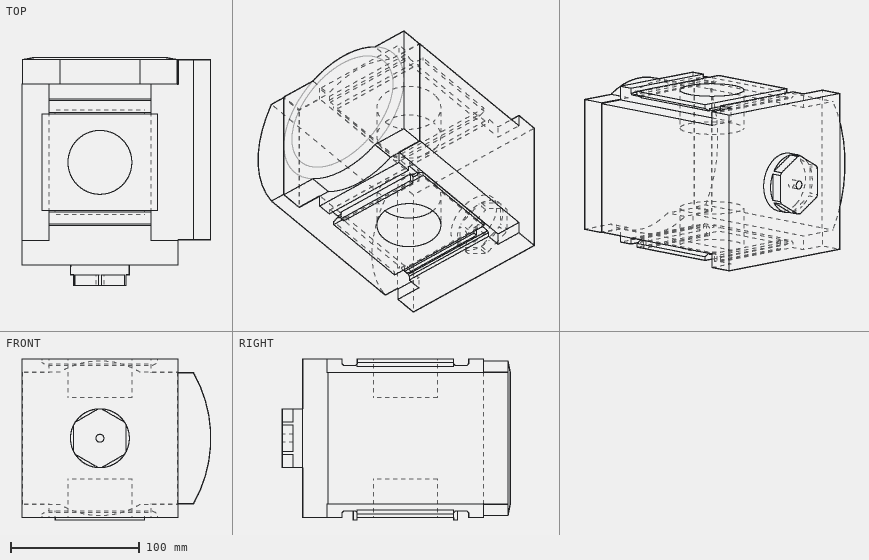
import cadquery as cq


body_width = 122.0
body_height = 124.1
body_depth = 141.4
flange_depth = 19.0
core_half_height = 51.2
core_height = 2 * core_half_height

pad_width = 79.9
rail_depth = 11.8
groove_width = 11.8
groove_drop = 5.2
groove_chamfer = 1.2
front_rail_end = 30.8
front_groove_end = front_rail_end + groove_width
back_groove_end = body_depth - rail_depth
back_groove_start = back_groove_end - groove_width
plate_length = back_groove_start - front_groove_end

plate_width = 90.2
plate_edge = 3.0
plate_taper = 2.9

port_diameter = 50
port_depth = 30.3

bar_length = 69.9
bar_thickness = 3.2
bar_protrusion = 2.0

block_inset = 0.5
block_depth = 19.0
block_width = body_width - 2 * block_inset
block_height = core_height + 2 * block_inset
disc_radius = block_width / 2
crown_height = 1.8
crown_slope_width = 9.5

cover_front = 19.8
cover_flat = 12.1
cover_reach = 25.7

collar_diameter = 46.0
collar_length = 7.7
hex_across_flats = 41
hex_length = 8.4
drain_diameter = 6.2
drain_depth = hex_length

half_width = body_width / 2
half_height = body_height / 2
back_end = body_depth + block_depth


def box(width, depth, height, front, bottom):
    """Box centred on X, starting at Y = front and Z = bottom."""
    return (
        cq.Workplane("XY")
        .box(width, depth, height, centered=(True, False, False))
        .translate((0, front, bottom))
    )


def plane_facing_front(x, front):
    """Workplane with X right and Z up at (x, front); negative extrusions run towards +Y."""
    return cq.Workplane("XZ", origin=(x, front, 0))


def make_housing():
    flange = box(body_width, flange_depth, body_height, 0, -half_height)
    core = box(body_width, body_depth, core_height, 0, -core_half_height)
    return flange.union(core)


def make_top_pad():
    """Rails, grooves, and dovetail plate, seated on the upper shoulder."""
    pad = box(pad_width, body_depth, half_height - core_half_height, 0, core_half_height)
    groove_floor = half_height - groove_drop
    for start in (front_rail_end, back_groove_start):
        groove = (
            box(pad_width, groove_width, groove_drop, start, groove_floor)
            .edges("|X and <Z")
            .chamfer(groove_chamfer)
        )
        pad = pad.cut(groove)

    edge_bottom = half_height - plate_edge
    taper_bottom = edge_bottom - plate_taper
    plate = (
        plane_facing_front(0, front_groove_end)
        .polyline([
            (-pad_width / 2, taper_bottom),
            (-plate_width / 2, edge_bottom),
            (-plate_width / 2, half_height),
            (plate_width / 2, half_height),
            (plate_width / 2, edge_bottom),
            (pad_width / 2, taper_bottom),
        ])
        .close()
        .extrude(-plate_length)
    )
    return pad.union(plate)


def make_top_port():
    plate_middle = front_groove_end + plate_length / 2
    return (
        cq.Workplane("XY", origin=(0, plate_middle, half_height))
        .circle(port_diameter / 2)
        .extrude(-port_depth)
    )


def make_sealing_bars():
    height = groove_drop + bar_protrusion
    bottom = -half_height - bar_protrusion
    front_bar = box(bar_length, bar_thickness, height, front_groove_end - bar_thickness, bottom)
    back_bar = box(bar_length, bar_thickness, height, back_groove_start, bottom)
    return front_bar.union(back_bar)


def make_back_block():
    block = box(block_width, block_depth, block_height, body_depth, -block_height / 2)
    disc = (
        plane_facing_front(0, body_depth)
        .circle(disc_radius)
        .extrude(-(block_depth + crown_height))
        .faces(">Y")
        .chamfer(crown_height, crown_slope_width)
    )
    return block.union(disc)


def make_side_cover():
    return (
        plane_facing_front(half_width, cover_front)
        .moveTo(0, -core_half_height)
        .lineTo(cover_flat, -core_half_height)
        .threePointArc((cover_reach, 0), (cover_flat, core_half_height))
        .lineTo(0, core_half_height)
        .close()
        .extrude(-(back_end - cover_front))
    )


def make_drain_plug():
    """Round collar and a hexagon whose corners are turned down to the collar diameter."""
    plug_length = collar_length + hex_length
    turned_envelope = plane_facing_front(0, 0).circle(collar_diameter / 2).extrude(plug_length)
    hexagon = (
        plane_facing_front(0, -collar_length)
        .polygon(6, hex_across_flats, circumscribed=True)
        .extrude(hex_length)
    )
    collar = plane_facing_front(0, 0).circle(collar_diameter / 2).extrude(collar_length)
    drain = plane_facing_front(0, -plug_length).circle(drain_diameter / 2).extrude(-drain_depth)
    return collar.union(hexagon.intersect(turned_envelope)).cut(drain)


top_pad = make_top_pad()
top_port = make_top_port()

result = (
    make_housing()
    .union(top_pad)
    .union(top_pad.mirror("XY"))
    .union(make_sealing_bars())
    .union(make_back_block())
    .union(make_side_cover())
    .union(make_drain_plug())
    .cut(top_port)
    .cut(top_port.mirror("XY"))
)